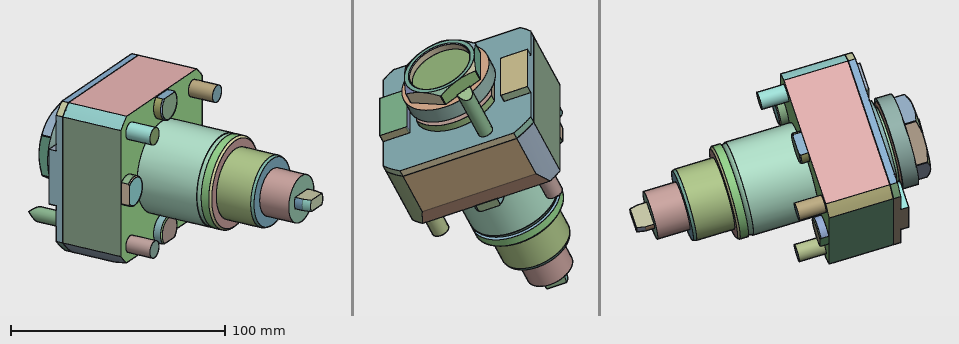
import cadquery as cq
import math


BLOCK_LENGTH = 35.1
BLOCK_WIDTH = 75.0
BLOCK_TOP = 37.4
BLOCK_BOTTOM = -40.0
CORNER_RADIUS = 49.4
UNDERCUT_LENGTH = 8.6
UNDERCUT_HEIGHT = 2.8
SEAM_START = 3.5
SEAM_WIDTH = 0.1
SEAM_DEPTH = 0.9

PAD_THICKNESS = 4.0
PAD_INNER = 23.7
PAD_HEIGHT = 28.0
PAD_FILLET = 0.6

COLLAR_LENGTH = 3.6
COLLAR_RADIUS = 22.1
COLLAR_ACROSS_FLATS = 38.1

SCREW_OFFSET = 28.8
SCREW_RADIUS = 4.2
SCREW_LENGTH = 13.1
BUTTON_LENGTH = 4.4
BUTTON_RADIUS = 7.4
BUTTON_OFFSET = 31.9
BUTTON_FLAT_OFFSET = 37.0
BUTTON_CHAMFER = 0.6

SHANK_RADIUS = 22.7
SHANK_END = 75.0
SHANK_CHAMFER = 1.0
GROOVE_START = 67.4
GROOVE_END = 69.9
GROOVE_OUTER_RADIUS = 22.4
NOSE_RADIUS = 17.5
NOSE_END = 95.1
NOSE_CHAMFER_LENGTH = 1.5
NOSE_CHAMFER_DEPTH = 0.6

PIPE_LENGTH = 26.5
PIPE_RADIUS = 3.6
PIPE_Y = -14.5
PIPE_Z = -31.9
TIP_TURN = 28.0

NUT_FRONT = -21.0
FLANGE_FRONT = -13.7
FLANGE_REAR = -6.0
FLANGE_RADIUS = 22.1
CONE_REAR = -5.2
CONE_FRONT_RADIUS = 20.7
CONE_REAR_RADIUS = 18.8
NECK_RADIUS = 18.0
HEX_ACROSS_FLATS = 35.5
HEX_CORNER_RADIUS = 20.4
HEX_CHAMFER_LENGTH = 1.6
RECESS_RADIUS = 15.3
RECESS_DEPTH = 3.6
RECESS_CHAMFER = 0.5
SHAFT_RADIUS = 11.6
SHAFT_END = 110.8
TANG_END = 145.6 - PIPE_LENGTH
TANG_THICKNESS = 5.8
TANG_RADIUS = 6.4
TANG_TIP_RADIUS = 5.7
TANG_TAPER_START = 115.0


def plane_at(x):
    """YZ plane at a given X, with local axes along Y and Z."""
    return cq.Workplane("YZ", origin=(x, 0, 0))


def rod(start, end, radius):
    """Cylinder on the tool axis."""
    return plane_at(start).circle(radius).extrude(end - start)


def turned(profile):
    """Solid of revolution about the tool axis from (x, radius) points."""
    return cq.Workplane("XY").polyline(profile).close().revolve(360, (0, 0, 0), (1, 0, 0))


def block_prism(start, length, inset=0):
    """Rectangle inset from the block sides, its corners turned to a circle about the tool axis."""
    height = BLOCK_TOP - BLOCK_BOTTOM
    center_z = (BLOCK_TOP + BLOCK_BOTTOM) / 2
    rectangle = (
        plane_at(start)
        .center(0, center_z)
        .rect(BLOCK_WIDTH - 2 * inset, height - 2 * inset)
        .extrude(length)
    )
    return rectangle.intersect(rod(start, start + length, CORNER_RADIUS - inset))


def make_block():
    seam = block_prism(SEAM_START, SEAM_WIDTH).cut(block_prism(SEAM_START, SEAM_WIDTH, SEAM_DEPTH))
    undercut = (
        cq.Workplane("XZ")
        .moveTo(BLOCK_LENGTH - UNDERCUT_LENGTH, BLOCK_BOTTOM)
        .lineTo(BLOCK_LENGTH, BLOCK_BOTTOM)
        .lineTo(BLOCK_LENGTH, BLOCK_BOTTOM + UNDERCUT_HEIGHT)
        .close()
        .extrude(BLOCK_WIDTH / 2, both=True)
    )
    return block_prism(0, BLOCK_LENGTH).cut(undercut).cut(seam)


def make_pad(side):
    """Front pad on the +Y (side = 1) or -Y (side = -1) edge of the block."""
    width = BLOCK_WIDTH / 2 - PAD_INNER
    center_y = side * (PAD_INNER + width / 2)
    pad = plane_at(-PAD_THICKNESS).center(center_y, 0).rect(width, PAD_HEIGHT).extrude(PAD_THICKNESS)
    inner_edges = "|X and <Y" if side > 0 else "|X and >Y"
    return pad.edges(inner_edges).fillet(PAD_FILLET)


def make_collar():
    flats = plane_at(-COLLAR_LENGTH).rect(COLLAR_ACROSS_FLATS, 2 * COLLAR_RADIUS).extrude(COLLAR_LENGTH)
    return rod(-COLLAR_LENGTH, 0, COLLAR_RADIUS).intersect(flats)


def make_button(angle):
    """Round button on the rear face with an outer flat, turned about the tool axis."""
    button = (
        plane_at(BLOCK_LENGTH)
        .center(0, BUTTON_OFFSET)
        .circle(BUTTON_RADIUS)
        .extrude(BUTTON_LENGTH)
        .faces(">X")
        .chamfer(BUTTON_CHAMFER)
    )
    flat_limit = (
        plane_at(BLOCK_LENGTH)
        .center(0, BUTTON_FLAT_OFFSET / 2)
        .rect(2 * BUTTON_RADIUS, BUTTON_FLAT_OFFSET)
        .extrude(BUTTON_LENGTH)
    )
    return button.intersect(flat_limit).rotate((0, 0, 0), (1, 0, 0), angle)


def make_screws():
    spacing = 2 * SCREW_OFFSET
    return (
        plane_at(BLOCK_LENGTH)
        .rect(spacing, spacing, forConstruction=True)
        .vertices()
        .circle(SCREW_RADIUS)
        .extrude(SCREW_LENGTH)
    )


def make_shank():
    """Stepped shank with a groove whose floor is a quarter round dropping towards the rear."""
    floor_round = GROOVE_END - GROOVE_START
    floor_center = GROOVE_OUTER_RADIUS - floor_round
    floor_mid = floor_round * math.cos(math.pi / 4)
    return (
        cq.Workplane("XY")
        .moveTo(BLOCK_LENGTH, 0)
        .lineTo(BLOCK_LENGTH, SHANK_RADIUS)
        .lineTo(GROOVE_START, SHANK_RADIUS)
        .lineTo(GROOVE_START, GROOVE_OUTER_RADIUS)
        .threePointArc((GROOVE_START + floor_mid, floor_center + floor_mid), (GROOVE_END, floor_center))
        .lineTo(GROOVE_END, SHANK_RADIUS)
        .lineTo(SHANK_END - SHANK_CHAMFER, SHANK_RADIUS)
        .lineTo(SHANK_END, SHANK_RADIUS - SHANK_CHAMFER)
        .lineTo(SHANK_END, NOSE_RADIUS)
        .lineTo(NOSE_END - NOSE_CHAMFER_LENGTH, NOSE_RADIUS)
        .lineTo(NOSE_END, NOSE_RADIUS - NOSE_CHAMFER_DEPTH)
        .lineTo(NOSE_END, 0)
        .close()
        .revolve(360, (0, 0, 0), (1, 0, 0))
    )


def make_pipe():
    """Pipe whose tip is cut to a ridge by two faces at 45 degrees to its axis."""
    pipe = cq.Workplane("YZ").circle(PIPE_RADIUS).extrude(-PIPE_LENGTH)
    wedge = (
        cq.Workplane("XZ")
        .moveTo(-PIPE_LENGTH, 0)
        .lineTo(PIPE_RADIUS - PIPE_LENGTH, PIPE_RADIUS)
        .lineTo(0, PIPE_RADIUS)
        .lineTo(0, -PIPE_RADIUS)
        .lineTo(PIPE_RADIUS - PIPE_LENGTH, -PIPE_RADIUS)
        .close()
        .extrude(PIPE_RADIUS, both=True)
        .rotate((0, 0, 0), (1, 0, 0), -TIP_TURN)
    )
    return pipe.intersect(wedge).translate((0, PIPE_Y, PIPE_Z))


def make_housing():
    housing = make_block().union(make_collar()).union(make_screws()).union(make_shank()).union(make_pipe())
    for side in (1, -1):
        housing = housing.union(make_pad(side))
    for angle in (0, 90, 180, 270):
        housing = housing.union(make_button(angle))
    shaft_bore = rod(-COLLAR_LENGTH, NOSE_END, SHAFT_RADIUS)
    return housing.cut(shaft_bore)


def make_nut():
    """Hexagon with bevelled corners and a round recess in its front face."""
    hex_diameter = HEX_ACROSS_FLATS / math.cos(math.pi / 6)
    hexagon = (
        plane_at(NUT_FRONT)
        .transformed(rotate=(0, 0, 30))
        .polygon(6, hex_diameter)
        .extrude(FLANGE_FRONT - NUT_FRONT)
    )
    corner_limit = turned([
        (NUT_FRONT, 0),
        (NUT_FRONT, HEX_ACROSS_FLATS / 2),
        (NUT_FRONT + HEX_CHAMFER_LENGTH, HEX_CORNER_RADIUS),
        (FLANGE_FRONT, HEX_CORNER_RADIUS),
        (FLANGE_FRONT, 0),
    ])
    recess = turned([
        (NUT_FRONT, 0),
        (NUT_FRONT, RECESS_RADIUS + RECESS_CHAMFER),
        (NUT_FRONT + RECESS_CHAMFER, RECESS_RADIUS),
        (NUT_FRONT + RECESS_DEPTH, RECESS_RADIUS),
        (NUT_FRONT + RECESS_DEPTH, 0),
    ])
    return hexagon.intersect(corner_limit).cut(recess)


def make_flange_and_shaft():
    return turned([
        (FLANGE_FRONT, 0),
        (FLANGE_FRONT, FLANGE_RADIUS),
        (FLANGE_REAR, FLANGE_RADIUS),
        (FLANGE_REAR, CONE_FRONT_RADIUS),
        (CONE_REAR, CONE_REAR_RADIUS),
        (CONE_REAR, NECK_RADIUS),
        (-COLLAR_LENGTH, NECK_RADIUS),
        (-COLLAR_LENGTH, SHAFT_RADIUS),
        (SHAFT_END, SHAFT_RADIUS),
        (SHAFT_END, 0),
    ])


def make_tang():
    """Flat drive tang with rounded edges and a tapered tip."""
    tapered_rod = turned([
        (SHAFT_END, 0),
        (SHAFT_END, TANG_RADIUS),
        (TANG_TAPER_START, TANG_RADIUS),
        (TANG_END, TANG_TIP_RADIUS),
        (TANG_END, 0),
    ])
    flats = plane_at(SHAFT_END).rect(2 * TANG_RADIUS, TANG_THICKNESS).extrude(TANG_END - SHAFT_END)
    return tapered_rod.intersect(flats)


def make_spindle():
    return make_flange_and_shaft().union(make_nut()).union(make_tang())


housing = make_housing()
spindle = make_spindle()

result = cq.Compound.makeCompound([housing.val(), spindle.val()])